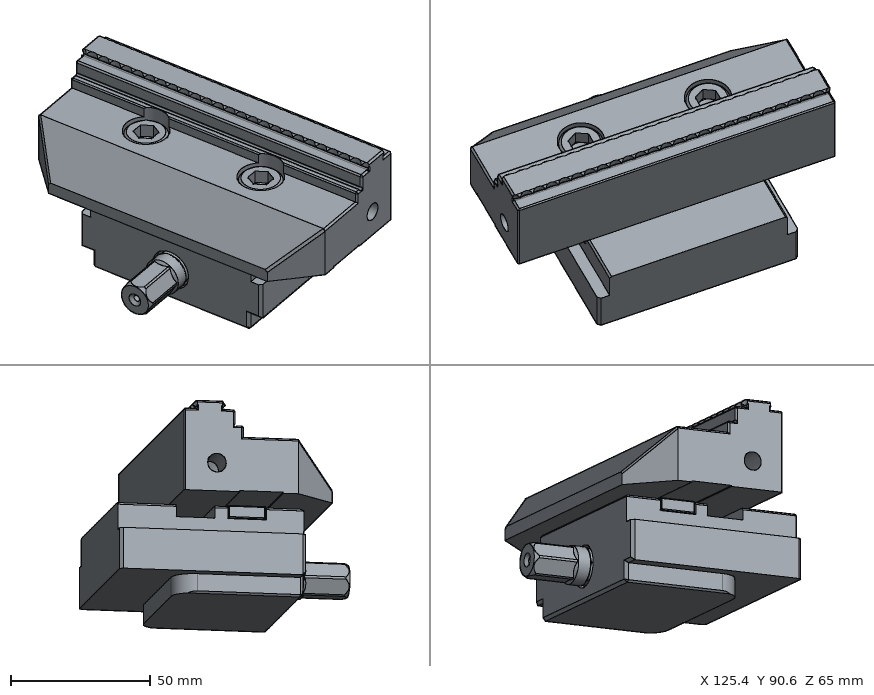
import cadquery as cq
import math


base_depth = 68.0
base_height = 32.0
neck_width = 70.0
flange_width = 79.0
flange_bottom = 7.0
flange_top = 22.0
tongue_width = 68.5
tongue_depth = 46.8
tongue_corner_radius = 8.0
base_chamfer = 1.1
top_chamfer = 0.8
slot_width = 14.2
slot_depth = 4.5
slot_fillet = 0.4
open_slot_y = 39.5

jaw_width = 125.0
jaw_front = -8.0
jaw_back = 49.0
jaw_top = 62.0
seat_height = 52.0
slope_start = 7.1
slope_size = slope_start - jaw_front
corner_inset = 14.8
ledge_front = 27.2
ledge_height = 56.2
block_front = 30.2
end_chamfer = 0.8
edge_chamfer = 0.6
small_chamfer = 0.5
step_relief_diameter = 1.3

rail_y = 39.5
rail_top = 65.0
rail_half_width = 4.9
rail_bevel = 1.1
neck_groove_diameter = 0.82
rail_neck_top = jaw_top + neck_groove_diameter
rail_tip = rail_half_width + rail_bevel
rail_tip_z = rail_top - rail_bevel
rail_neck_half = rail_tip - (rail_tip_z - rail_neck_top)
tooth_count = 25
tooth_pitch = jaw_width / tooth_count
notch_radius = 2.9
notch_depth = 1.4

screw_spacing = 50.0
screw_y = 20.7
bore_diameter = 17.0
bore_depth = 10.5
head_diameter = 16.0
head_face_diameter = 14.2
head_sink = 0.5
socket_flats = 8.0
socket_depth = 5.0
key_width = 13.5
key_clearance = 0.4
keyway_width = 15.8
keyway_depth = 0.4

side_hole_diameter = 6.8
side_hole_depth = 15.0
side_hole_y = 37.0
side_hole_z = 42.3
drill_tip_angle = 118

spindle_z = 12.9
spindle_bore_diameter = 15.5
spindle_bore_depth = 2.5
collar_diameter = 14.2
collar_start = -0.5
collar_end = -6.4
collar_chamfer = 1.0
spindle_neck_diameter = 13.3
hex_flats = 12.0
hex_corner_diameter = 13.4
hex_end_diameter = 11.8
hex_taper = 1.6
spindle_end = -22.6
centre_diameter = 5.0
centre_hole_diameter = 2.5
centre_hole_depth = 5.0

overall_length = 125.4
pin_diameter = 0.4
pin_y = rail_y - rail_half_width
pin_z = 61.7


def block(width, y_front, y_back, z_bottom, z_top):
    """Box centred in X between the given Y and Z limits."""
    depth = y_back - y_front
    return (
        cq.Workplane("XY", origin=(0, (y_front + y_back) / 2, z_bottom))
        .rect(width, depth)
        .extrude(z_top - z_bottom)
    )


def rod(diameter, y_start, y_end):
    """Cylinder on the spindle axis."""
    return (
        cq.Workplane("XZ", origin=(0, y_start, spindle_z))
        .circle(diameter / 2)
        .extrude(y_start - y_end)
    )


def turned(outline):
    """Body of revolution about the spindle axis from (radius, Y) points."""
    return (
        cq.Workplane("XY", origin=(0, 0, spindle_z))
        .polyline(outline)
        .close()
        .revolve(360, (0, 0), (0, 1))
    )


def hex_prism(plane, flats, length):
    """Hexagonal prism with two corners on the plane's X direction."""
    corners = flats / math.cos(math.pi / 6)
    return plane.polygon(6, corners).extrude(length)


def cross_slot(y):
    """Slot along X in the top of the base, with rounded bottom corners."""
    slot = block(
        2 * flange_width,
        y - slot_width / 2,
        y + slot_width / 2,
        base_height - slot_depth,
        base_height,
    )
    return slot.edges("|X and <Z").fillet(slot_fillet)


def make_base():
    neck = block(neck_width, 0, base_depth, flange_top, base_height)
    neck = neck.edges(">Z and (|Y or <Y)").chamfer(top_chamfer)

    flange = block(flange_width, 0, base_depth, flange_bottom, flange_top)
    flange = flange.edges("|Z or (<Y and <Z)").chamfer(base_chamfer)

    tongue = block(tongue_width, 0, tongue_depth, 0, flange_top)
    tongue = tongue.edges("|Y and <Z").chamfer(top_chamfer)
    tongue = tongue.faces("<Y").edges("not >Z").chamfer(base_chamfer)
    outline = block(tongue_width, 0, tongue_depth, 0, flange_top)
    outline = outline.edges("|Z and >Y").fillet(tongue_corner_radius)

    base = neck.union(flange).union(tongue.intersect(outline))
    return base.cut(cross_slot(open_slot_y)).cut(cross_slot(screw_y))


def jaw_profile():
    """Side outline of the jaw, from the front foot around to the back."""
    return (
        cq.Workplane("YZ", origin=(-jaw_width / 2, 0, 0))
        .moveTo(jaw_front, base_height)
        .lineTo(jaw_front, seat_height - slope_size)
        .lineTo(slope_start, seat_height)
        .lineTo(ledge_front, seat_height)
        .lineTo(ledge_front, ledge_height - small_chamfer)
        .lineTo(ledge_front + small_chamfer, ledge_height)
        .lineTo(block_front, ledge_height)
        .lineTo(block_front, jaw_top - edge_chamfer)
        .lineTo(block_front + edge_chamfer, jaw_top)
        .lineTo(rail_y - rail_neck_half, jaw_top)
        .lineTo(rail_y - rail_neck_half, rail_neck_top)
        .lineTo(rail_y - rail_tip, rail_tip_z)
        .lineTo(rail_y - rail_half_width, rail_top)
        .lineTo(rail_y + rail_half_width, rail_top)
        .lineTo(rail_y + rail_tip, rail_tip_z)
        .lineTo(rail_y + rail_neck_half, rail_neck_top)
        .lineTo(rail_y + rail_neck_half, jaw_top)
        .lineTo(jaw_back - small_chamfer, jaw_top)
        .lineTo(jaw_back, jaw_top - small_chamfer)
        .lineTo(jaw_back, base_height)
        .close()
    )


def make_jaw():
    half = jaw_width / 2
    jaw = jaw_profile().extrude(jaw_width)
    plan = (
        cq.Workplane("XY", origin=(0, 0, base_height))
        .polyline([
            (-half, jaw_back),
            (-half, slope_start),
            (-half + corner_inset, jaw_front),
            (half - corner_inset, jaw_front),
            (half, slope_start),
            (half, jaw_back),
        ])
        .close()
        .extrude(rail_top - base_height)
    )
    jaw = jaw.intersect(plan)
    jaw = jaw.edges("|Z and >Y").chamfer(small_chamfer)

    rims = jaw.faces("<X or >X").edges().add(jaw.faces(">(0, -1, 1)").edges("not |X"))
    rims = rims.filter(lambda edge: edge.BoundingBox().zmin > base_height + small_chamfer)
    return jaw.newObject(rims.vals()).chamfer(end_chamfer)


def make_relief_grooves():
    """Round grooves along X in the step corner and on both sides of the rail neck."""
    neck_z = jaw_top + neck_groove_diameter / 2
    return (
        cq.Workplane("YZ", origin=(-jaw_width / 2, 0, 0))
        .pushPoints([(block_front, ledge_height)])
        .circle(step_relief_diameter / 2)
        .pushPoints([(rail_y - rail_neck_half, neck_z), (rail_y + rail_neck_half, neck_z)])
        .circle(neck_groove_diameter / 2)
        .extrude(jaw_width)
    )


def make_tooth_notches():
    """Round notches that leave pointed teeth on both edges of the rail."""
    notch_offset = rail_tip - notch_depth + notch_radius
    centres = [
        ((i - tooth_count / 2) * tooth_pitch, rail_y + side * notch_offset)
        for i in range(tooth_count + 1)
        for side in (-1, 1)
    ]
    notch = cq.Workplane("XY").circle(notch_radius).extrude(rail_top - rail_neck_top).val()
    return (
        cq.Workplane("XY", origin=(0, 0, rail_neck_top))
        .pushPoints(centres)
        .eachpoint(lambda place: notch.moved(place))
    )


def make_key():
    """Key under the jaw that sits in the front cross slot."""
    key = block(
        neck_width,
        screw_y - key_width / 2,
        screw_y + key_width / 2,
        base_height - slot_depth + key_clearance,
        base_height + keyway_depth,
    )
    return key.faces("<X or >X").chamfer(key_clearance)


def make_keyway():
    """Shallow groove in the underside of the jaw for the key."""
    return block(
        2 * jaw_width,
        screw_y - keyway_width / 2,
        screw_y + keyway_width / 2,
        base_height,
        base_height + keyway_depth,
    )


def make_screw_head():
    """Socket head standing on the Z = 0 plane."""
    height = bore_depth - head_sink
    chamfer = (head_diameter - head_face_diameter) / 2
    head = cq.Workplane("XY").circle(head_diameter / 2).extrude(height)
    head = head.faces(">Z").chamfer(chamfer)
    floor = height - socket_depth
    socket = hex_prism(cq.Workplane("XY"), socket_flats, socket_depth)
    socket = socket.rotate((0, 0, 0), (0, 0, 1), 90).translate((0, 0, floor))
    return head.cut(socket).cut(drill_tip(socket_flats).translate((0, 0, floor)))


def drill_tip_depth(diameter):
    """Height of the cone of a drill point."""
    return diameter / 2 / math.tan(math.radians(drill_tip_angle / 2))


def drill_tip(diameter):
    """Cone of a drill point below the Z = 0 plane."""
    return (
        cq.Workplane("XZ")
        .polyline([(0, 0), (diameter / 2, 0), (0, -drill_tip_depth(diameter))])
        .close()
        .revolve(360, (0, 0), (0, 1))
    )


def make_side_hole():
    """Blind hole in the -X end of the jaw."""
    hole = cq.Workplane("XY").circle(side_hole_diameter / 2).extrude(side_hole_depth)
    hole = hole.union(drill_tip(side_hole_diameter))
    hole = hole.rotate((0, 0, 0), (0, 1, 0), -90)
    return hole.translate((side_hole_depth - jaw_width / 2, side_hole_y, side_hole_z))


def make_spindle():
    """Drive spindle with a round collar and a hexagonal end."""
    neck = rod(spindle_neck_diameter, spindle_bore_depth, collar_start)
    collar = rod(collar_diameter, collar_start, collar_end)
    collar = collar.faces("<Y").chamfer(collar_chamfer)

    hexagon = hex_prism(
        cq.Workplane("XZ", origin=(0, 0, spindle_z)), hex_flats, -spindle_end
    )
    envelope = turned(
        [
            (0, 0),
            (hex_corner_diameter / 2, 0),
            (hex_corner_diameter / 2, spindle_end + hex_taper),
            (hex_end_diameter / 2, spindle_end),
            (0, spindle_end),
        ]
    )

    hole_radius = centre_hole_diameter / 2
    mouth_radius = centre_diameter / 2
    bore_end = spindle_end + centre_hole_depth
    centre_hole = turned(
        [
            (0, spindle_end),
            (mouth_radius, spindle_end),
            (hole_radius, spindle_end + mouth_radius - hole_radius),
            (hole_radius, bore_end),
            (0, bore_end + drill_tip_depth(centre_hole_diameter)),
        ]
    )
    return neck.union(collar).union(hexagon.intersect(envelope)).cut(centre_hole)


base = make_base()
base = base.cut(rod(spindle_bore_diameter, spindle_bore_depth, 0))

jaw = make_jaw().cut(make_relief_grooves()).cut(make_tooth_notches())
side_hole = make_side_hole()
jaw = jaw.cut(side_hole).cut(side_hole.mirror("YZ")).cut(make_keyway())

bore_floor = seat_height - bore_depth
screw_bore = cq.Workplane("XY").circle(bore_diameter / 2).extrude(jaw_top - bore_floor)
screw_head = make_screw_head()
for x in (-screw_spacing / 2, screw_spacing / 2):
    place = (x, screw_y, bore_floor)
    jaw = jaw.cut(screw_bore.translate(place)).union(screw_head.translate(place))

end_pin = (
    cq.Workplane("YZ", origin=(-overall_length / 2, pin_y, pin_z))
    .circle(pin_diameter / 2)
    .extrude(overall_length)
)

result = base.union(jaw).union(make_key()).union(make_spindle()).union(end_pin)